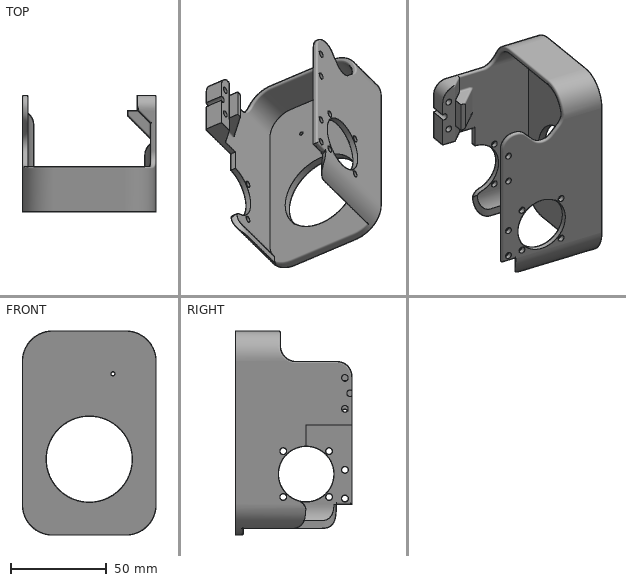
import cadquery as cq
import math

WIDTH = 70.1
DEPTH = 61.0
HEIGHT = 107.0
CORNER_R = 16.0
WALL = 3.0
PLATE = 4.1
EDGE_R = 1.0
HALF = WIDTH / 2
INNER_HALF = HALF - WALL

SIDE_TOP_Z = HEIGHT - CORNER_R
SIDE_BOTTOM_Z = CORNER_R
HOOD_DEPTH = 23.6
RIM_R = 8.0
VALLEY_Y = 36.0
SHOULDER_FLAT = 1.0
COS45 = math.cos(math.radians(45))

LIP = 6.0
LIP_HALF = HALF - LIP
LEFT_LIP_DEPTH = 53.0
RIGHT_LIP_DEPTH = 37.0
LIP_END_R = 7.5
TIP_R = 6.0

LENS_R = 22.5
LENS_Z = 39.8
PIN_HOLE_D = 2.0
PIN_HOLE_X = 12.4
PIN_HOLE_Z = 84.5

SCREW_D = 3.4
FAN_R = 14.5
FAN_Y = 37.0
FAN_Z = 32.0
FAN_PITCH = 24.0
BACK_HOLE_Y = 57.3
BACK_HOLE_MID_Z = 49.2
BACK_HOLE_INNER_OFFSET = 15.0
BACK_HOLE_OUTER_OFFSET = 30.0

FLANGE_MID_Z = 74.3
FLANGE_HOLE_PITCH = 16.2
FLANGE_BOTTOM_Z = 2 * FLANGE_MID_Z - SIDE_TOP_Z
FLANGE_THICKNESS = 10.0
FLANGE_X = HALF - FLANGE_THICKNESS
FLANGE_FRONT_Y = 53.4

STOP_REACH = 15.0
STOP_X = HALF - STOP_REACH
STOP_BACK_Y = 53.0
STOP_FRONT_Y = 50.2
STOP_HEIGHT = 15.4
EDGE_NOTCH_Y = 60.0

TOL = 0.01


def box(x0, x1, y0, y1, z0, z1):
    """Axis-aligned box given by its limits."""
    return cq.Workplane("XY").box(x1 - x0, y1 - y0, z1 - z0, centered=False).translate((x0, y0, z0))


def along_x(y, z, radius, x0, x1):
    """Cylinder parallel to X."""
    return cq.Workplane("YZ", origin=(x0, 0, 0)).center(y, z).circle(radius).extrude(x1 - x0)


def along_y(x, z, radius, y0, y1):
    """Cylinder parallel to Y."""
    return cq.Workplane("XZ", origin=(0, y0, 0)).center(x, z).circle(radius).extrude(y0 - y1)


def rounded_bar(margin, y0, y1):
    """Rounded rectangle inset from the envelope by a margin and extruded along Y."""
    return (
        box(margin - HALF, HALF - margin, y0, y1, margin, HEIGHT - margin)
        .edges("|Y")
        .fillet(CORNER_R - margin)
    )


def rim_arc_point(center, degrees):
    """Point of a rim arc, the angle counted from +Y towards +Z."""
    angle = math.radians(degrees)
    return (center[0] + RIM_R * math.cos(angle), center[1] + RIM_R * math.sin(angle))


def left_rim_cutter():
    """Space above the left wall: rounded shoulder, valley with 45 degree flanks and hood edge."""
    arc_z = SIDE_TOP_Z - RIM_R
    back = (DEPTH - RIM_R, arc_z)
    front = (DEPTH - RIM_R - SHOULDER_FLAT, arc_z)
    back_flank_top = rim_arc_point(front, 135)
    half_width = RIM_R * COS45
    flank_run = back_flank_top[0] - (VALLEY_Y + half_width)
    valley = (VALLEY_Y, back_flank_top[1] - flank_run + half_width)
    hood_y = HOOD_DEPTH + RIM_R
    hood = (hood_y, valley[1] + VALLEY_Y - hood_y)
    above = HEIGHT + RIM_R
    return (
        cq.Workplane("YZ", origin=(-HALF, 0, 0))
        .moveTo(DEPTH, above)
        .lineTo(*rim_arc_point(back, 0))
        .threePointArc(rim_arc_point(back, 45), rim_arc_point(back, 90))
        .lineTo(*rim_arc_point(front, 90))
        .threePointArc(rim_arc_point(front, 112.5), back_flank_top)
        .lineTo(*rim_arc_point(valley, -45))
        .threePointArc(rim_arc_point(valley, -90), rim_arc_point(valley, -135))
        .lineTo(*rim_arc_point(hood, -135))
        .threePointArc(rim_arc_point(hood, -157.5), rim_arc_point(hood, 180))
        .lineTo(HOOD_DEPTH, above)
        .close()
        .extrude(HALF)
    )


def right_rim_cutter():
    """Space above the right wall: rounded back corner, flat top and concave rise to the hood."""
    back = (DEPTH - RIM_R, SIDE_TOP_Z - RIM_R)
    rise = (HOOD_DEPTH + RIM_R, SIDE_TOP_Z + RIM_R)
    above = HEIGHT + RIM_R
    return (
        cq.Workplane("YZ")
        .moveTo(DEPTH, above)
        .lineTo(*rim_arc_point(back, 0))
        .threePointArc(rim_arc_point(back, 45), rim_arc_point(back, 90))
        .lineTo(*rim_arc_point(rise, -90))
        .threePointArc(rim_arc_point(rise, -135), rim_arc_point(rise, 180))
        .lineTo(HOOD_DEPTH, above)
        .close()
        .extrude(HALF)
    )


def flange():
    """Thick block at the back of the right wall with a 45 degree front face."""
    root_x = INNER_HALF + EDGE_R
    root_y = FLANGE_FRONT_Y - (INNER_HALF - FLANGE_X)
    block = (
        cq.Workplane("XY", origin=(0, 0, FLANGE_BOTTOM_Z))
        .moveTo(root_x, DEPTH)
        .lineTo(FLANGE_X, DEPTH)
        .lineTo(FLANGE_X, FLANGE_FRONT_Y)
        .lineTo(root_x, root_y - EDGE_R)
        .close()
        .extrude(SIDE_TOP_Z - FLANGE_BOTTOM_Z)
    )
    upper = cq.selectors.BoxSelector(
        (FLANGE_X + TOL, 0, SIDE_TOP_Z - TOL),
        (root_x - TOL, FLANGE_FRONT_Y, SIDE_TOP_Z + TOL),
    )
    upright = cq.selectors.BoxSelector(
        (FLANGE_X - TOL, FLANGE_FRONT_Y - TOL, 0),
        (FLANGE_X + TOL, FLANGE_FRONT_Y + TOL, HEIGHT),
    )
    block = block.edges(upright).fillet(EDGE_R).edges(upper).fillet(EDGE_R)
    return block.cut(right_rim_cutter())


def with_stop(body):
    """Adds a wedge on the right wall and rounds the inside corner between its top and the wall."""
    run = INNER_HALF - STOP_X
    top_z = FLANGE_MID_Z + STOP_HEIGHT / 2
    wedge = (
        cq.Workplane("XY", origin=(0, 0, top_z - STOP_HEIGHT))
        .moveTo(INNER_HALF, STOP_BACK_Y)
        .lineTo(STOP_X, STOP_BACK_Y)
        .lineTo(STOP_X, STOP_FRONT_Y)
        .lineTo(INNER_HALF, STOP_FRONT_Y - run)
        .close()
        .extrude(STOP_HEIGHT)
        .faces("<(1, 1, 0)")
        .edges(">Z or <Z")
        .fillet(EDGE_R)
    )
    inside_corner = cq.selectors.BoxSelector(
        (INNER_HALF - TOL, RIGHT_LIP_DEPTH, top_z - TOL),
        (INNER_HALF + TOL, STOP_BACK_Y, top_z + TOL),
    )
    return body.union(wedge).edges(inside_corner).fillet(EDGE_R)


def lip_end_cutter(side, end_y, top_z):
    """Rounds the free rear corner of one lower strip about Z; side is -1 left, +1 right."""
    center_x = LIP_HALF + LIP_END_R
    square = box(LIP_HALF, HALF, end_y - LIP_END_R, end_y, 0, top_z)
    round_end = cq.Workplane("XY").center(center_x, end_y - LIP_END_R).circle(LIP_END_R).extrude(top_z)
    cutter = square.cut(round_end)
    return cutter if side > 0 else cutter.mirror("YZ")


def right_tip_cutter():
    """Rounds the tip between the right rear end and the fan opening, tangent to both."""
    center_y = RIGHT_LIP_DEPTH - TIP_R
    center_distance = FAN_R + TIP_R
    center_z = FAN_Z - math.sqrt(center_distance**2 - (FAN_Y - center_y) ** 2)
    tangent_y = center_y + (FAN_Y - center_y) * TIP_R / center_distance
    tangent_z = center_z + (FAN_Z - center_z) * TIP_R / center_distance
    corner = box(LIP_HALF, HALF, tangent_y, RIGHT_LIP_DEPTH, center_z, tangent_z)
    return corner.cut(along_x(center_y, center_z, TIP_R, LIP_HALF, HALF))


def is_rim_edge(edge):
    """True for the rear outline of hood and walls, leaving out short edges across the wall."""
    bounds = edge.BoundingBox()
    across_wall = edge.geomType() == "LINE" and bounds.ylen + bounds.zlen < TOL and bounds.xlen < 2 * WALL
    behind_hood = bounds.ymin > HOOD_DEPTH - TOL
    above_lips = bounds.zmin > SIDE_BOTTOM_Z - TOL
    return behind_hood and above_lips and not across_wall


def shell():
    """Hollow body with a shaped, rounded rear rim and an open bottom."""
    body = rounded_bar(0, 0, DEPTH).cut(rounded_bar(WALL, PLATE, DEPTH))
    body = body.cut(left_rim_cutter()).cut(right_rim_cutter())
    body = body.cut(box(-LIP_HALF, LIP_HALF, PLATE, DEPTH, 0, CORNER_R))
    body = body.cut(box(-HALF, 0, LEFT_LIP_DEPTH, DEPTH, 0, SIDE_BOTTOM_Z))
    rim = [edge for edge in body.edges().vals() if is_rim_edge(edge)]
    body = body.newObject(rim).fillet(EDGE_R)
    body = body.cut(box(0, HALF, RIGHT_LIP_DEPTH, DEPTH, 0, FLANGE_BOTTOM_Z))
    body = body.cut(right_tip_cutter())
    body = body.cut(lip_end_cutter(-1, LEFT_LIP_DEPTH, SIDE_BOTTOM_Z))
    body = body.cut(lip_end_cutter(1, RIGHT_LIP_DEPTH, FAN_Z))
    plate_bottom = cq.selectors.BoxSelector(
        (-LIP_HALF - TOL, PLATE - TOL, -TOL),
        (LIP_HALF + TOL, PLATE + TOL, LIP / 2),
    )
    return body.edges(plate_bottom).fillet(EDGE_R)


def screw_holes(body):
    """Fan opening, fan screws, rear screw holes and the flange notch, all parallel to X."""
    body = body.cut(along_x(FAN_Y, FAN_Z, FAN_R, -HALF, HALF))
    for dy in (-FAN_PITCH / 2, FAN_PITCH / 2):
        for dz in (-FAN_PITCH / 2, FAN_PITCH / 2):
            body = body.cut(along_x(FAN_Y + dy, FAN_Z + dz, SCREW_D / 2, -HALF, HALF))
    for side in (-1, 1):
        for offset in (BACK_HOLE_INNER_OFFSET, BACK_HOLE_OUTER_OFFSET):
            left_z = BACK_HOLE_MID_Z + side * offset
            body = body.cut(along_x(BACK_HOLE_Y, left_z, SCREW_D / 2, -HALF, 0))
        flange_z = FLANGE_MID_Z + side * FLANGE_HOLE_PITCH / 2
        body = body.cut(along_x(BACK_HOLE_Y, flange_z, SCREW_D / 2, 0, HALF))
    return body.cut(along_x(EDGE_NOTCH_Y, FLANGE_MID_Z, SCREW_D / 2, 0, HALF))


def plate_holes(body):
    """Lens opening and pin hole through the front plate."""
    body = body.cut(along_y(0, LENS_Z, LENS_R, 0, PLATE))
    return body.cut(along_y(PIN_HOLE_X, PIN_HOLE_Z, PIN_HOLE_D / 2, 0, PLATE))


body = with_stop(shell())
body = body.union(flange())
body = screw_holes(body)
result = plate_holes(body)